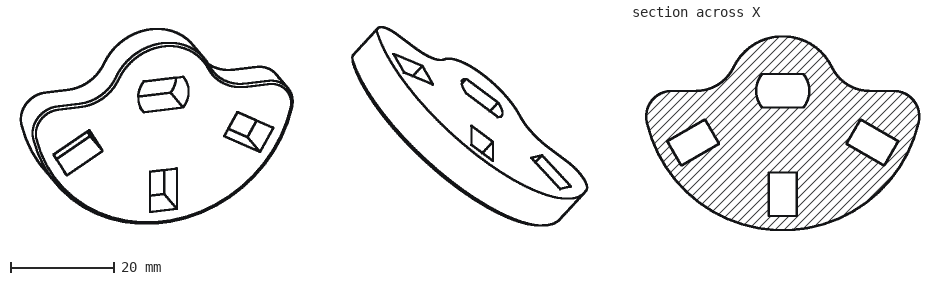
import cadquery as cq
import math

thickness = 8.0
edge_chamfer = 0.5

hub_radius = 10.56
rim_radius = 27.0
corner_radius = 5.0
neck_radius = 8.0

bore_diameter = 10.25
bore_across_flats = 6.4

slot_width = 5.4
slot_length = 8.4
slot_circle_radius = 20.0
slot_angles = (-60.0, 0.0, 60.0)


def polar(radius, angle, center=(0.0, 0.0)):
    """Point at a radius and an angle in radians from a center."""
    return (center[0] + radius * math.cos(angle), center[1] + radius * math.sin(angle))


def mirrored(point):
    """Point reflected across the vertical symmetry line."""
    return (-point[0], point[1])


def make_blank():
    """Fan-shaped plate: hub on top, concave necks, flat shoulders at Z = 0 and a round rim."""
    neck_center = (math.sqrt((hub_radius + neck_radius) ** 2 - neck_radius ** 2), neck_radius)
    neck_angle = math.atan2(neck_center[1], neck_center[0])
    hub_end = polar(hub_radius, neck_angle)
    neck_mid_angle = (neck_angle + math.pi + 1.5 * math.pi) / 2
    neck_mid = polar(neck_radius, neck_mid_angle, neck_center)
    shoulder_start = (neck_center[0], 0.0)

    corner_reach = rim_radius - corner_radius
    corner_center = (math.sqrt(corner_reach ** 2 - corner_radius ** 2), -corner_radius)
    corner_angle = math.atan2(corner_center[1], corner_center[0])
    shoulder_end = (corner_center[0], 0.0)
    corner_mid = polar(corner_radius, (math.pi / 2 + corner_angle) / 2, corner_center)
    rim_end = polar(rim_radius, corner_angle)

    return (
        cq.Workplane("YZ")
        .moveTo(*mirrored(hub_end))
        .threePointArc((0.0, hub_radius), hub_end)
        .threePointArc(neck_mid, shoulder_start)
        .lineTo(*shoulder_end)
        .threePointArc(corner_mid, rim_end)
        .threePointArc((0.0, -rim_radius), mirrored(rim_end))
        .threePointArc(mirrored(corner_mid), mirrored(shoulder_end))
        .lineTo(*mirrored(shoulder_start))
        .threePointArc(mirrored(neck_mid), mirrored(hub_end))
        .close()
        .extrude(thickness)
        .faces(">X")
        .chamfer(edge_chamfer)
    )


def make_bore():
    """Round bore cut down to two horizontal flats."""
    cylinder = cq.Workplane("YZ").circle(bore_diameter / 2).extrude(thickness)
    flats = cq.Workplane("YZ").rect(bore_diameter, bore_across_flats).extrude(thickness)
    return cylinder.intersect(flats)


def make_slot(angle):
    """Through slot with its long side pointing at the hub axis."""
    slot = (
        cq.Workplane("YZ")
        .center(0.0, -slot_circle_radius)
        .rect(slot_width, slot_length)
        .extrude(thickness)
    )
    return slot.rotate((0, 0, 0), (1, 0, 0), angle)


result = make_blank().cut(make_bore())
for slot_angle in slot_angles:
    result = result.cut(make_slot(slot_angle))